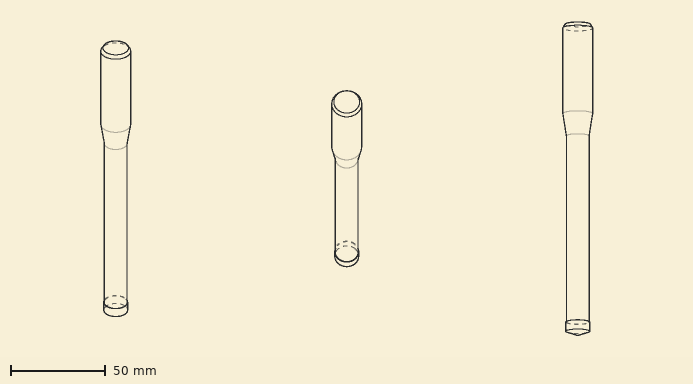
import cadquery as cq
import math

SHANK_DIAMETER = 15.875
SHANK_LENGTH = 48.0
SHANK_CHAMFER_LENGTH = 2.0
SHANK_CHAMFER_ANGLE = 30.0
TAPER_LENGTH = 12.0
NECK_DIAMETER = 12.14
NECK_LENGTH = 100.0

HEAD_DIAMETER = 12.7
HEAD_LENGTH = 5.0
POINT_ANGLE = 140.0

head_radius = HEAD_DIAMETER / 2
point_height = head_radius / math.tan(math.radians(POINT_ANGLE / 2))
head_top = point_height + HEAD_LENGTH
neck_top = head_top + NECK_LENGTH
taper_top = neck_top + TAPER_LENGTH
shank_top = taper_top + SHANK_LENGTH


def revolve_about_z(profile):
    """Turn a closed (radius, height) profile into a solid about the Z axis."""
    return cq.Workplane("XZ").polyline(profile).close().revolve(360, (0, 0, 0), (0, 1, 0))


def make_holder():
    """Neck, taper and shank, with the shank's end edge chamfered."""
    neck_radius = NECK_DIAMETER / 2
    shank_radius = SHANK_DIAMETER / 2
    chamfer_depth = SHANK_CHAMFER_LENGTH * math.tan(math.radians(SHANK_CHAMFER_ANGLE))
    return revolve_about_z([
        (0, head_top),
        (neck_radius, head_top),
        (neck_radius, neck_top),
        (shank_radius, taper_top),
        (shank_radius, shank_top - SHANK_CHAMFER_LENGTH),
        (shank_radius - chamfer_depth, shank_top),
        (0, shank_top),
    ])


def make_cutting_head():
    """Cylindrical head with a drill point, butted against the neck."""
    return revolve_about_z([
        (0, 0),
        (head_radius, point_height),
        (head_radius, head_top),
        (0, head_top),
    ])


holder = make_holder()
cutting_head = make_cutting_head()
result = cq.Compound.makeCompound([holder.val(), cutting_head.val()])